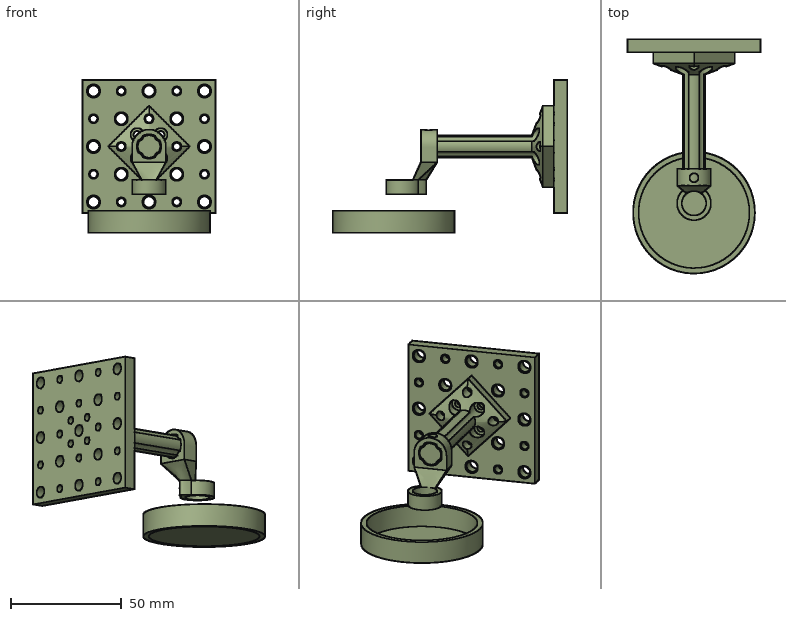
import cadquery as cq
import math


plate_size = 60.0
plate_thickness = 6.0
grid_pitch = 12.5
grid_reach = 2
large_hole_diameter = 5.0
large_hole_mouth = 6.0
small_hole_diameter = 3.3
small_hole_mouth = 4.1

base_side = 26.0
base_thickness = 5.0
transition_length = 5.0
rod_diameter = 10.0
post_length = 60.0
corner_hole_diameter = 4.1
screw_circle_radius = 7.5
screw_hole_diameter = 3.2
screw_head_diameter = 6.0
screw_floor_thickness = 3.0
screw_angles = [45, 135, 225, 315]

ring_diameter = 15.3
bore_diameter = 11.0
collar_width = 7.5
collar_drop = 7.0
set_screw_diameter = 4.0
set_screw_distance = 56.5
rod_clearance = (bore_diameter - rod_diameter) / 2
bore_rib_diameter = screw_head_diameter - 2 * rod_clearance
collar_front = post_length
collar_back = collar_front - collar_width
ring_distance = 68.0
ring_top = -15.0
ring_height = 6.6
neck_half_width = 3.3
neck_nose_distance = 57.5

dish_diameter = 55.0
dish_inner_diameter = 50.0
dish_height = 10.0
dish_floor = 0.05
dish_distance = 72.21
dish_bottom = -38.87


def front_plane(distance):
    """Plane parallel to the plate, facing -Y, with local x along X and local y along Z."""
    return cq.Workplane("XZ", origin=(0, -distance, 0))


def level_plane(height):
    """Horizontal plane with local x along X and local y along Y."""
    return cq.Workplane("XY", origin=(0, 0, height))


def diagonal_points(radius):
    """Four points on a circle, one on each diagonal."""
    points = []
    for angle in screw_angles:
        radians = math.radians(angle)
        points.append((radius * math.cos(radians), radius * math.sin(radians)))
    return points


screw_points = diagonal_points(screw_circle_radius)


def chamfered_holes(points, diameter, mouth):
    """Cutters through the plate, widened by a 45 degree chamfer at the front face."""
    bores = front_plane(-plate_thickness).pushPoints(points).circle(diameter / 2).extrude(plate_thickness)
    chamfer = (mouth - diameter) / 2
    cone = cq.Solid.makeCone(mouth / 2, diameter / 2, chamfer, dir=cq.Vector(0, 1, 0))
    for x, z in points:
        bores = bores.union(cq.Workplane(cone.translate(cq.Vector(x, 0, z))))
    return bores


def make_plate():
    large_points = []
    small_points = []
    for column in range(-grid_reach, grid_reach + 1):
        for row in range(-grid_reach, grid_reach + 1):
            point = (column * grid_pitch, row * grid_pitch)
            if (column + row) % 2 == 0:
                large_points.append(point)
            else:
                small_points.append(point)
    plate = front_plane(-plate_thickness).rect(plate_size, plate_size).extrude(plate_thickness)
    plate = plate.cut(chamfered_holes(large_points, large_hole_diameter, large_hole_mouth))
    plate = plate.cut(chamfered_holes(small_points, small_hole_diameter, small_hole_mouth))
    screw_holes = (
        front_plane(-plate_thickness)
        .pushPoints(screw_points)
        .circle(screw_hole_diameter / 2)
        .extrude(plate_thickness)
    )
    return plate.cut(screw_holes)


def make_post():
    half_diagonal = base_side / math.sqrt(2)
    transition_top = base_thickness + transition_length
    rod_radius = rod_diameter / 2
    corners = [(half_diagonal, 0), (0, half_diagonal), (-half_diagonal, 0), (0, -half_diagonal)]

    base = front_plane(0).polyline(corners).close().extrude(base_thickness)

    mid = rod_radius / math.sqrt(2)
    square_wire = front_plane(base_thickness).polyline(corners).close().val()
    round_wire = (
        front_plane(transition_top)
        .moveTo(rod_radius, 0)
        .threePointArc((mid, mid), (0, rod_radius))
        .threePointArc((-mid, mid), (-rod_radius, 0))
        .threePointArc((-mid, -mid), (0, -rod_radius))
        .threePointArc((mid, -mid), (rod_radius, 0))
        .close()
        .val()
    )
    transition = cq.Workplane(cq.Solid.makeLoft([square_wire, round_wire], True))

    rod = front_plane(transition_top).circle(rod_radius).extrude(post_length - transition_top)
    post = base.union(transition).union(rod)

    head_bores = (
        front_plane(screw_floor_thickness)
        .pushPoints(screw_points)
        .circle(screw_head_diameter / 2)
        .extrude(post_length)
    )
    screw_holes = front_plane(0).pushPoints(screw_points).circle(screw_hole_diameter / 2).extrude(post_length)
    corner_points = [(grid_pitch, 0), (0, grid_pitch), (-grid_pitch, 0), (0, -grid_pitch)]
    corner_holes = (
        front_plane(0).pushPoints(corner_points).circle(corner_hole_diameter / 2).extrude(transition_top)
    )
    return post.cut(head_bores).cut(screw_holes).cut(corner_holes)


def make_collar():
    """Arched block whose ribbed bore follows the fluted rod with an even clearance."""
    radius = ring_diameter / 2
    block = (
        front_plane(collar_back)
        .moveTo(-radius, -collar_drop)
        .lineTo(radius, -collar_drop)
        .lineTo(radius, 0)
        .threePointArc((0, radius), (-radius, 0))
        .close()
        .extrude(collar_width)
    )
    bore = front_plane(collar_back).circle(bore_diameter / 2).extrude(collar_width)
    ribs = (
        front_plane(collar_back).pushPoints(screw_points).circle(bore_rib_diameter / 2).extrude(collar_width)
    )
    set_screw_hole = (
        level_plane(0)
        .center(0, -set_screw_distance)
        .circle(set_screw_diameter / 2)
        .extrude(radius)
    )
    return block.cut(bore.cut(ribs)).cut(set_screw_hole)


def neck_outline(height):
    """Neck section: concave along the ring bore, straight sides, rounded nose toward the plate."""
    bore_radius = bore_diameter / 2
    bore_corner = -ring_distance + math.sqrt(bore_radius**2 - neck_half_width**2)
    side_end = -ring_distance + math.sqrt((ring_diameter / 2) ** 2 - neck_half_width**2)
    nose_tip = -neck_nose_distance
    return (
        level_plane(height)
        .moveTo(-neck_half_width, bore_corner)
        .threePointArc((0, -ring_distance + bore_radius), (neck_half_width, bore_corner))
        .lineTo(neck_half_width, side_end)
        .spline([(0, nose_tip), (-neck_half_width, side_end)], includeCurrent=True)
        .close()
    )


def make_neck():
    """Tapered neck lofted from the collar down to the ring top, plus its foot beside the ring."""
    radius = ring_diameter / 2
    collar_wire = (
        level_plane(-collar_drop)
        .moveTo(-radius, -collar_front)
        .lineTo(radius, -collar_front)
        .lineTo(radius, -collar_back)
        .lineTo(-radius, -collar_back)
        .close()
        .val()
    )
    neck = cq.Workplane(cq.Solid.makeLoft([collar_wire, neck_outline(ring_top).val()], True))
    return neck.union(neck_outline(ring_top).extrude(-ring_height))


def make_arm():
    ring_plane = level_plane(ring_top).center(0, -ring_distance)
    ring = ring_plane.circle(ring_diameter / 2).extrude(-ring_height)
    ring_bore = ring_plane.circle(bore_diameter / 2).extrude(-ring_height)
    return make_collar().union(make_neck()).union(ring).cut(ring_bore)


def make_dish():
    dish = level_plane(dish_bottom).center(0, -dish_distance).circle(dish_diameter / 2).extrude(dish_height)
    cavity = (
        level_plane(dish_bottom + dish_floor)
        .center(0, -dish_distance)
        .circle(dish_inner_diameter / 2)
        .extrude(dish_height)
    )
    return dish.cut(cavity)


plate = make_plate()
post = make_post()
arm = make_arm()
dish = make_dish()

bodies = [plate, post, arm, dish]
result = cq.Compound.makeCompound([body.solids().val() for body in bodies])